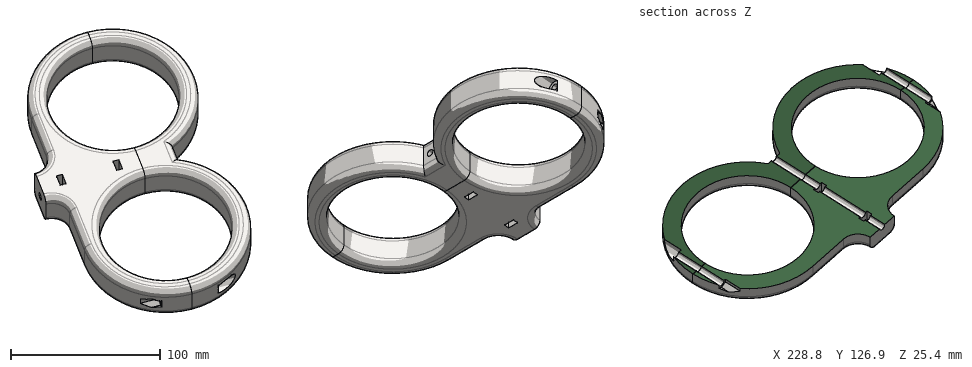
import cadquery as cq
import math

ring_outer_radius = 57.2
ring_width = 12.8
thickness = 25.4
edge_radius = 5.0
bridge_back_y = 25.4
neck_length = 12.5

bolt_diameter = 5.0
head_diameter = 10.0
hex_nut_flats = 8.0
seat_y = 20.0
square_nut_width = 8.0
nut_slot_depth = 4.1
nut_slot_ys = (-15.0, -54.9)

ring_inner_radius = ring_outer_radius - ring_width
ring_x = ring_outer_radius
side_bolt_x = ring_x + ring_outer_radius - ring_width / 2
neck_half_width = thickness / 2
neck_blend_radius = neck_length
neck_front_y = -ring_outer_radius - neck_length
blend_start_x = neck_half_width + neck_blend_radius
bridge_corner_x = ring_x - math.sqrt(ring_outer_radius**2 - bridge_back_y**2)
hex_nut_corners = hex_nut_flats / math.cos(math.pi / 6)
total_length = ring_outer_radius - neck_front_y


def frame_blank():
    """Whole frame before splitting: two rings, web and flared neck, edges rounded."""
    blend_offset = neck_blend_radius * math.sin(math.pi / 4)
    blend_mid_x = blend_start_x - blend_offset
    blend_mid_y = neck_front_y + blend_offset
    outer_x = 2 * ring_outer_radius
    frame = (
        cq.Workplane("XY")
        .workplane(offset=-thickness / 2)
        .moveTo(-bridge_corner_x, bridge_back_y)
        .lineTo(bridge_corner_x, bridge_back_y)
        .threePointArc((ring_x, ring_outer_radius), (outer_x, 0))
        .radiusArc((ring_x, -ring_outer_radius), ring_outer_radius)
        .lineTo(blend_start_x, -ring_outer_radius)
        .threePointArc((blend_mid_x, blend_mid_y), (neck_half_width, neck_front_y))
        .lineTo(-neck_half_width, neck_front_y)
        .threePointArc((-blend_mid_x, blend_mid_y), (-blend_start_x, -ring_outer_radius))
        .lineTo(-ring_x, -ring_outer_radius)
        .radiusArc((-outer_x, 0), ring_outer_radius)
        .threePointArc((-ring_x, ring_outer_radius), (-bridge_corner_x, bridge_back_y))
        .close()
        .extrude(thickness)
    )
    openings = (
        cq.Workplane("XY")
        .pushPoints([(-ring_x, 0), (ring_x, 0)])
        .circle(ring_inner_radius)
        .extrude(thickness, both=True)
    )
    frame = frame.cut(openings)
    rounded_edges = frame.faces("|Z").edges("not(<Y)")
    return rounded_edges.fillet(edge_radius)


def bolt_bore(x):
    """Bolt clearance running along Y through both halves."""
    return (
        cq.Workplane("XZ", origin=(x, 0, 0))
        .circle(bolt_diameter / 2)
        .extrude(total_length, both=True)
    )


def head_recess(x):
    """Round recess for a bolt head, open to the rear."""
    return (
        cq.Workplane("XZ", origin=(x, seat_y, 0))
        .circle(head_diameter / 2)
        .extrude(-ring_outer_radius)
    )


def hex_nut_recess(x):
    """Hexagonal nut recess open to the front, with corners at top and bottom."""
    return (
        cq.Workplane("XZ", origin=(x, -seat_y, 0))
        .transformed(rotate=(0, 0, 90))
        .polygon(6, hex_nut_corners)
        .extrude(ring_outer_radius)
    )


def square_nut_slots():
    """Vertical slots that hold square nuts on the centre bolt."""
    return (
        cq.Workplane("XY")
        .pushPoints([(0, y) for y in nut_slot_ys])
        .rect(square_nut_width, nut_slot_depth)
        .extrude(thickness, both=True)
    )


def half_space(direction):
    """Box covering everything in front of (-1) or behind (+1) the split plane."""
    size = 4 * ring_outer_radius + thickness
    return cq.Workplane("XY").box(size, size, size).translate((0, direction * size / 2, 0))


blank = frame_blank()
for bolt_x in (-side_bolt_x, 0, side_bolt_x):
    blank = blank.cut(bolt_bore(bolt_x))

rear_half = blank.intersect(half_space(1))
for bolt_x in (-side_bolt_x, side_bolt_x):
    rear_half = rear_half.cut(head_recess(bolt_x))

front_half = blank.intersect(half_space(-1)).cut(square_nut_slots())
for bolt_x in (-side_bolt_x, side_bolt_x):
    front_half = front_half.cut(hex_nut_recess(bolt_x))

result = cq.Compound.makeCompound([front_half.val(), rear_half.val()])